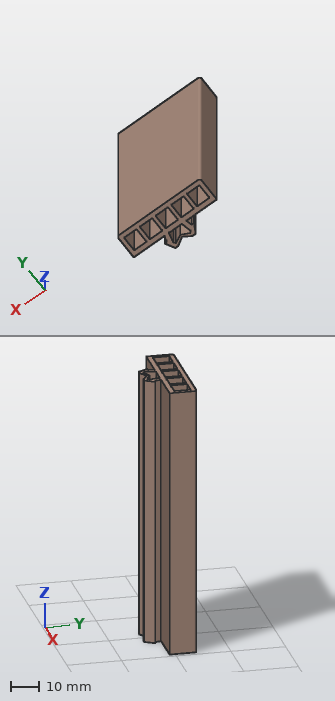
import cadquery as cq

length = 100.0
panel_width = 37.0
panel_depth = 10.0
total_depth = 16.0
back_corner_radius = 1.0

cell_count = 5
cell_width = 5.5
cell_depth = 6.0
rib_thickness = 1.5
cell_pitch = cell_width + rib_thickness
back_wall = 1.9

clip_depth = total_depth - panel_depth
root_half_width = 4.9
neck_half_width = 5.5
neck_depth = 2.3
barb_half_width = 6.5
barb_depth = 2.4
toe_outer_half_width = 4.5
toe_inner_half_width = 3.1
notch_depth = 4.0

hollow_root_half_width = 2.9
hollow_side_half_width = 3.8
hollow_side_depth = 4.0
hollow_toe_half_width = 3.2
hollow_toe_depth = 4.6
hollow_peak_depth = 3.0


def make_panel():
    """Panel with its back face at Y = 0, rounded back corners and channels."""
    panel = cq.Workplane("XY").box(
        panel_width, panel_depth, length, centered=(True, False, False)
    ).translate((0, -panel_depth, 0))
    panel = panel.edges("|Z and >Y").fillet(back_corner_radius)
    cells = (
        cq.Workplane("XY")
        .center(0, -back_wall - cell_depth / 2)
        .rarray(cell_pitch, 1, cell_count, 1)
        .rect(cell_width, cell_depth)
        .extrude(length)
    )
    return panel.cut(cells)


def extrude_mirrored(half_outline):
    """Extrude (half width, depth) points, mirrored about X = 0, from the front face."""
    right_side = [(x, -panel_depth - depth) for x, depth in half_outline]
    left_side = [(-x, y) for x, y in reversed(right_side) if x > 0]
    return cq.Workplane("XY").polyline(right_side + left_side).close().extrude(length)


def make_clip():
    """Barbed W-shaped clip with flat toes and a hollow behind its notch."""
    body = extrude_mirrored([
        (root_half_width, 0),
        (neck_half_width, neck_depth),
        (barb_half_width, barb_depth),
        (toe_outer_half_width, clip_depth),
        (toe_inner_half_width, clip_depth),
        (0, notch_depth),
    ])
    hollow = extrude_mirrored([
        (hollow_root_half_width, 0),
        (hollow_side_half_width, hollow_side_depth),
        (hollow_toe_half_width, hollow_toe_depth),
        (0, hollow_peak_depth),
    ])
    return body.cut(hollow)


result = make_panel().union(make_clip())